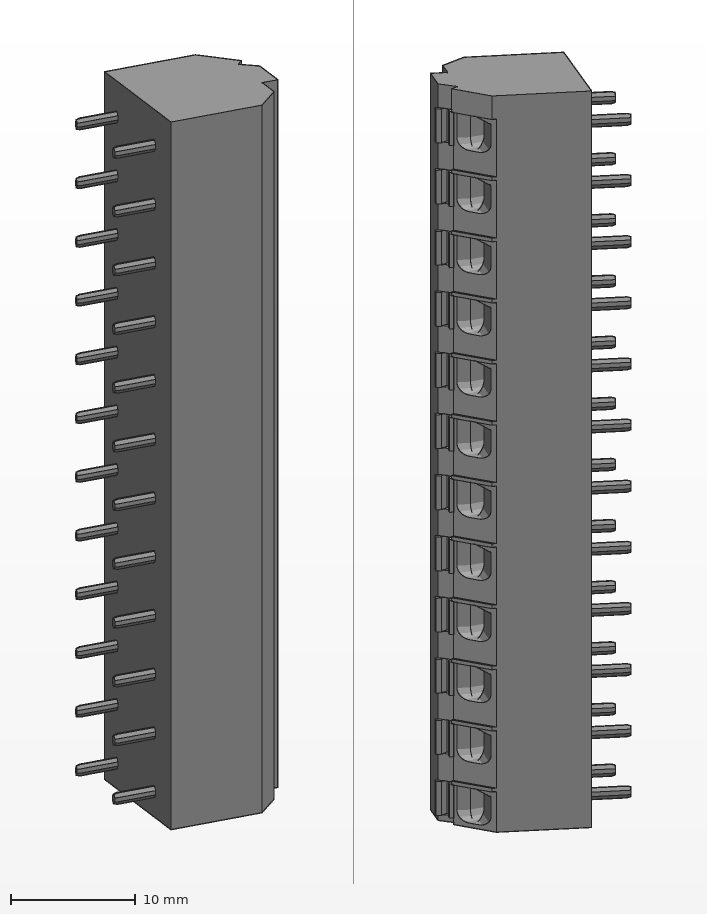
import cadquery as cq

width = 12.0
length = 61.2
back_height = 11.7
shoulder_height = 8.15
ledge_height = 10.3
ledge_start = 7.7
crown_start = 4.4
notch_rim_x = 2.75
notch_depth_step = 0.58

pole_count = 12
pole_pitch = 5.1
first_pole_top = 59.25
rib_thickness = 0.3
recess_step = 0.2

button_height = 2.8
button_top = 11.95
button_tip_x = 3.9
jaw_size = 0.4
button_heel = (3.0, 11.0)
slot_run = 0.55

entry_height = 3.0
entry_back_x = 2.7
entry_bend_y = 9.35
entry_lip_y = 8.15
entry_bend_depth = 0.6
entry_floor_fillet = 0.85
entry_overrun = 1.85
entry_roof_drop = 0.52

pin_length = 3.6
pin_depth_z = 1.0
pin_flat_z = 0.35
pin_end_share = 0.3
pin_embed = 0.6
pin_drop = 1.15
pin_rows = ((2.2, 0.4), (8.95, 0.6))
pin_tip_length = 0.3
pin_tip_taper = 14

notch_rim_y = shoulder_height + notch_rim_x
recess_shoulder = shoulder_height - 2 * recess_step


def prism(points, bottom, top):
    """Extrude an XY outline between two Z levels."""
    return cq.Workplane("XY").workplane(offset=bottom).polyline(points).close().extrude(top - bottom)


def housing():
    """Constant cross-section with sloping flanks, a ledge and the button notch."""
    flank_top = shoulder_height + width - ledge_height
    outline = [
        (0, 0),
        (width, 0),
        (width, shoulder_height),
        (flank_top, ledge_height),
        (ledge_start, ledge_height),
        (ledge_start, back_height),
        (crown_start, back_height),
        (notch_rim_x + notch_depth_step, notch_rim_y - notch_depth_step),
        (notch_rim_x, notch_rim_y),
        (0, shoulder_height),
    ]
    return prism(outline, 0, length)


def slope_recess(bottom, top):
    """Shallow strip taken off the entry slope."""
    outline = [
        (0, shoulder_height),
        (notch_rim_x, notch_rim_y),
        (notch_rim_x + recess_step, notch_rim_y - recess_step),
        (0, recess_shoulder),
    ]
    return prism(outline, bottom, top)


def button(top):
    """Button filling the notch, with two square jaws."""
    heel_x, heel_y = button_heel
    outline = [
        (heel_x, notch_rim_y - notch_depth_step),
        (heel_x, heel_y),
        (heel_x + jaw_size, heel_y),
        (button_tip_x, button_top - jaw_size),
        (button_tip_x, button_top),
        (crown_start, button_top),
        (crown_start, notch_rim_y - notch_depth_step),
    ]
    return prism(outline, top - button_height, top)


def screwdriver_slot(top):
    """45 degree slot between the jaws."""
    low_x, low_y = button_heel[0] + jaw_size, button_heel[1]
    high_x, high_y = button_tip_x, button_top - jaw_size
    outline = [
        (low_x, low_y),
        (low_x + slot_run, low_y - slot_run),
        (high_x + slot_run, high_y - slot_run),
        (high_x, high_y),
    ]
    return prism(outline, top - button_height, top)


def wire_entry(top):
    """Pocket in the slope, its back wall bending deeper towards the lower lip."""
    inner_x = entry_back_x + entry_bend_depth
    outline = [
        (entry_back_x, recess_shoulder + entry_back_x + entry_overrun),
        (entry_back_x, entry_bend_y),
        (inner_x, entry_lip_y),
        (-entry_overrun, entry_lip_y),
    ]
    pocket = prism(outline, top - entry_height, top)
    pocket = pocket.faces("<Z").edges().fillet(entry_floor_fillet)
    return pocket.cut(entry_roof(top))


def entry_roof(top):
    """Wedge left standing so that the pocket roof falls towards the lower lip."""
    outline = [(entry_bend_y, top), (entry_lip_y, top), (entry_lip_y, top - entry_roof_drop)]
    return cq.Workplane("YZ").polyline(outline).close().extrude(width)


def pin(axis_x, pin_width, axis_z):
    """Flattened octagonal pin with a tapered tip."""
    edge = pin_width / 2
    end = pin_end_share * edge
    tall = pin_depth_z / 2
    flat = pin_flat_z / 2
    outline = [
        (edge, flat),
        (end, tall),
        (-end, tall),
        (-edge, flat),
        (-edge, -flat),
        (-end, -tall),
        (end, -tall),
        (edge, -flat),
    ]
    blank = cq.Workplane("XZ", origin=(axis_x, pin_embed, axis_z)).polyline(outline).close()
    shaft = blank.extrude(pin_length - pin_tip_length + pin_embed)
    return shaft.faces("<Y").wires().toPending().workplane().extrude(pin_tip_length, taper=pin_tip_taper)


result = housing()
for pole in range(pole_count):
    pole_top = first_pole_top - pole * pole_pitch
    last_pole = pole == pole_count - 1
    recess_bottom = 0 if last_pole else pole_top - pole_pitch + rib_thickness
    result = result.cut(slope_recess(recess_bottom, pole_top))
    result = result.union(button(pole_top)).cut(screwdriver_slot(pole_top))
    result = result.cut(wire_entry(pole_top))
    for row_x, row_width in pin_rows:
        result = result.union(pin(row_x, row_width, pole_top - pin_drop))